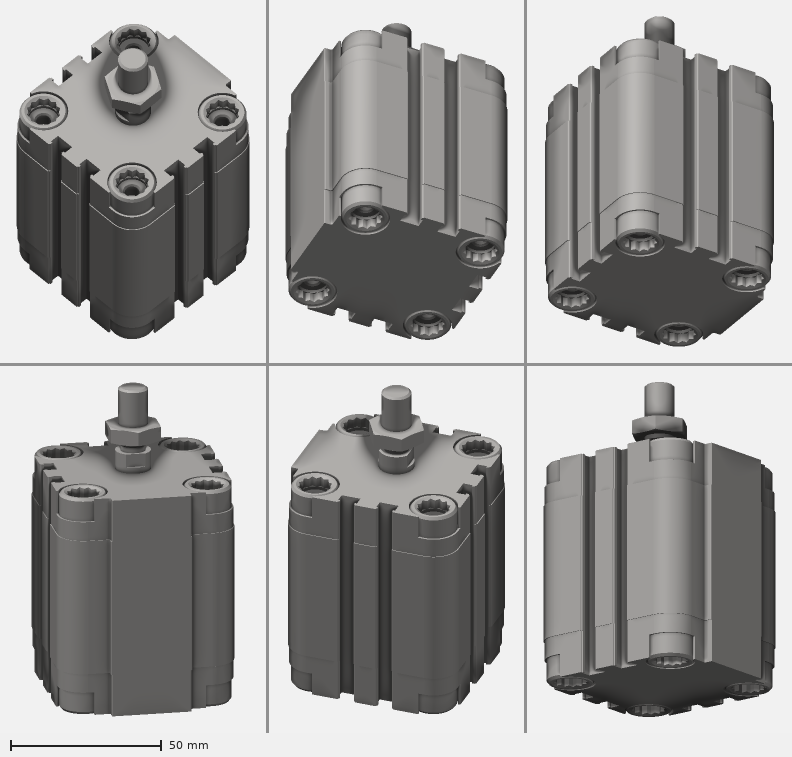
import cadquery as cq
import math


total_height = 104.0

housing_height = 75.5
cover_height = 14.5
tube_width = 60.0
tube_half_width = tube_width / 2
cover_inset = 0.3
cover_half_width = tube_half_width - cover_inset
bolt_offset = 21.0

rib_half_width = 13.7
housing_depth = 62.5
rib_top_y = housing_depth - tube_half_width
rib_root_fillet = 0.6
rib_edge_fillet = 0.3

slot_spacing = 13.5
slot_mouth_half = 2.6
slot_inner_half = 3.3
slot_floor = 25.0
slot_lip_inner = 28.3
slot_lip_radius = 0.5

head_diameter = 16.0
head_pocket_diameter = 16.4
head_height = 7.9
head_chamfer_radial = 0.7
head_chamfer_axial = 0.9
notch_wall = 18.8
bolt_bore_diameter = 4.9
bore_mouth_diameter = 6.0

socket_mouth_diameter = 12.7
socket_mouth_slope = math.tan(math.radians(30))
socket_points = 12
star_outer_diameter = 11.4
star_depth = 3.8
socket_depth = 5.0
socket_bore_diameter = 10.1

rod_diameter = 12.0
rod_shoulder_z = 82.1
rod_socket_depth = cover_height
flat_width = 10.0
flat_bottom_z = 77.6
neck_diameter = 8.4
thread_diameter = 10.0
thread_bottom_z = 83.9
thread_chamfer_axial = 0.6

nut_width = 17.0
nut_bottom_z = 86.0
nut_top_z = 91.2
nut_corner_chamfer = 0.3


def slot_cutter(face_distance, height):
    """T-slot opening toward -Y, centred on x = 0, with a rounded mouth in the face at face_distance."""
    mouth_outer = slot_mouth_half + slot_lip_radius
    return (
        cq.Workplane("XY")
        .moveTo(-mouth_outer, -face_distance)
        .radiusArc((-slot_mouth_half, -face_distance + slot_lip_radius), slot_lip_radius)
        .lineTo(-slot_mouth_half, -slot_lip_inner)
        .lineTo(-slot_inner_half, -slot_lip_inner)
        .lineTo(-slot_inner_half, -slot_floor)
        .lineTo(slot_inner_half, -slot_floor)
        .lineTo(slot_inner_half, -slot_lip_inner)
        .lineTo(slot_mouth_half, -slot_lip_inner)
        .lineTo(slot_mouth_half, -face_distance + slot_lip_radius)
        .radiusArc((mouth_outer, -face_distance), slot_lip_radius)
        .close()
        .extrude(height)
    )


def make_section(half_width, rib_half, height):
    """Length of the housing profile: rounded square, rib on +Y and T-slots on the other three sides."""
    corner_radius = half_width - bolt_offset
    square = cq.Workplane("XY").rect(2 * half_width, 2 * half_width).extrude(height)
    square = square.edges("|Z").fillet(corner_radius)
    rib = cq.Workplane("XY").rect(2 * rib_half, rib_top_y).extrude(height)
    rib = rib.translate((0, rib_top_y / 2, 0))
    rib = rib.edges("|Z and >Y").fillet(rib_edge_fillet)
    section = square.union(rib)
    for side in (-1, 1):
        root = cq.selectors.NearestToPointSelector((side * rib_half, half_width, height / 2))
        section = section.edges(root).fillet(rib_root_fillet)
    for turn in (-90, 0, 90):
        for side in (-1, 1):
            slot = slot_cutter(half_width, height).translate((side * slot_spacing / 2, 0, 0))
            section = section.cut(slot.rotate((0, 0, 0), (0, 0, 1), turn))
    return section


def disc(diameter, bottom_z, top_z):
    """Upright cylinder on the Z axis."""
    return cq.Workplane("XY").workplane(offset=bottom_z).circle(diameter / 2).extrude(top_z - bottom_z)


def make_head_notch():
    """Space to remove around one bolt head at the +X +Y corner of the top face."""
    notch_side = rib_top_y - notch_wall
    notch_centre = notch_wall + notch_side / 2
    corner = (
        cq.Workplane("XY")
        .workplane(offset=housing_height - head_height)
        .center(notch_centre, notch_centre)
        .rect(notch_side, notch_side)
        .extrude(head_height)
    )
    pocket = disc(head_pocket_diameter, housing_height - head_height, housing_height)
    head_radius = head_diameter / 2
    head = (
        cq.Workplane("XZ")
        .moveTo(0, housing_height - head_height)
        .lineTo(head_radius, housing_height - head_height)
        .lineTo(head_radius, housing_height - head_chamfer_axial)
        .lineTo(head_radius - head_chamfer_radial, housing_height)
        .lineTo(0, housing_height)
        .close()
        .revolve(360, (0, 0, 0), (0, 1, 0))
    )
    to_corner = (bolt_offset, bolt_offset, 0)
    return corner.union(pocket.translate(to_corner)).cut(head.translate(to_corner))


def make_star(height):
    """Twelve-point star prism whose inner corners lie on the socket bore."""
    inner_radius = socket_bore_diameter / 2
    outer_radius = star_outer_diameter / 2
    half_pitch = math.pi / socket_points
    points = []
    for i in range(2 * socket_points):
        radius = inner_radius if i % 2 else outer_radius
        points.append((radius * math.cos(i * half_pitch), radius * math.sin(i * half_pitch)))
    return cq.Workplane("XY").polyline(points).close().extrude(height)


def make_socket():
    """Socket of one bolt head: conical mouth, star, round bottom and the flared mouth of the bolt bore."""
    mouth_radius = socket_mouth_diameter / 2
    mouth_depth = mouth_radius * socket_mouth_slope
    mouth = cq.Workplane(cq.Solid.makeCone(0, mouth_radius, mouth_depth))
    mouth = mouth.translate((0, 0, housing_height - mouth_depth))
    star = make_star(star_depth).translate((0, 0, housing_height - star_depth))
    floor_z = housing_height - socket_depth
    bottom = disc(socket_bore_diameter, floor_z, housing_height - star_depth)
    bore_mouth_radius = bore_mouth_diameter / 2
    bore_radius = bolt_bore_diameter / 2
    flare_depth = bore_mouth_radius - bore_radius
    flare = cq.Workplane(cq.Solid.makeCone(bore_radius, bore_mouth_radius, flare_depth))
    flare = flare.translate((0, 0, floor_z - flare_depth))
    socket = star.union(bottom).union(flare).union(mouth)
    return socket.translate((bolt_offset, bolt_offset, 0))


def make_housing():
    """Tube between two slightly smaller covers, with bolt heads, bolt bores and the rod socket."""
    tube_height = housing_height - 2 * cover_height
    tube = make_section(tube_half_width, rib_half_width, tube_height)
    cover = make_section(cover_half_width, rib_half_width - cover_inset, cover_height)
    housing = (
        cover.union(tube.translate((0, 0, cover_height)))
        .union(cover.translate((0, 0, housing_height - cover_height)))
    )
    corner_spacing = 2 * bolt_offset
    bores = (
        cq.Workplane("XY")
        .rect(corner_spacing, corner_spacing, forConstruction=True)
        .vertices()
        .circle(bolt_bore_diameter / 2)
        .extrude(housing_height)
    )
    housing = housing.cut(bores)
    top_cutter = make_head_notch().union(make_socket())
    bottom_cutter = top_cutter.mirror("XY", (0, 0, housing_height / 2))
    for cutter in (top_cutter, bottom_cutter):
        for turn in range(0, 360, 90):
            housing = housing.cut(cutter.rotate((0, 0, 0), (0, 0, 1), turn))
    return housing.cut(disc(rod_diameter, housing_height - rod_socket_depth, housing_height))


def make_rod():
    """Piston rod with two wrench flats, a neck and a threaded end chamfered down to the neck diameter."""
    rod = disc(rod_diameter, housing_height - rod_socket_depth, rod_shoulder_z)
    around_flats = (
        cq.Workplane("XY")
        .workplane(offset=flat_bottom_z)
        .rect(3 * rod_diameter, 3 * rod_diameter)
        .rect(2 * rod_diameter, flat_width)
        .extrude(rod_shoulder_z - flat_bottom_z)
    )
    rod = rod.cut(around_flats)
    neck = disc(neck_diameter, rod_shoulder_z, thread_bottom_z)
    chamfer_radial = (thread_diameter - neck_diameter) / 2
    thread = disc(thread_diameter, thread_bottom_z, total_height)
    thread = thread.faces(">Z or <Z").edges().chamfer(thread_chamfer_axial, chamfer_radial)
    return rod.union(neck).union(thread)


def make_nut():
    """Hexagon nut with two corners on the Y axis, chamfered at both ends and bored to fit the thread."""
    corner_diameter = nut_width / math.cos(math.pi / 6)
    nut_height = nut_top_z - nut_bottom_z
    nut = cq.Workplane("XY").polygon(6, corner_diameter).extrude(nut_height)
    nut = nut.rotate((0, 0, 0), (0, 0, 1), 30)
    chamfer_radial = (corner_diameter - nut_width) / 2
    envelope = disc(corner_diameter, 0, nut_height)
    envelope = envelope.faces(">Z or <Z").edges().chamfer(nut_corner_chamfer, chamfer_radial)
    nut = nut.intersect(envelope).cut(disc(thread_diameter, 0, nut_height))
    return nut.translate((0, 0, nut_bottom_z))


housing = make_housing()
rod = make_rod()
nut = make_nut()
result = cq.Compound.makeCompound([housing.solids().val(), rod.solids().val(), nut.solids().val()])